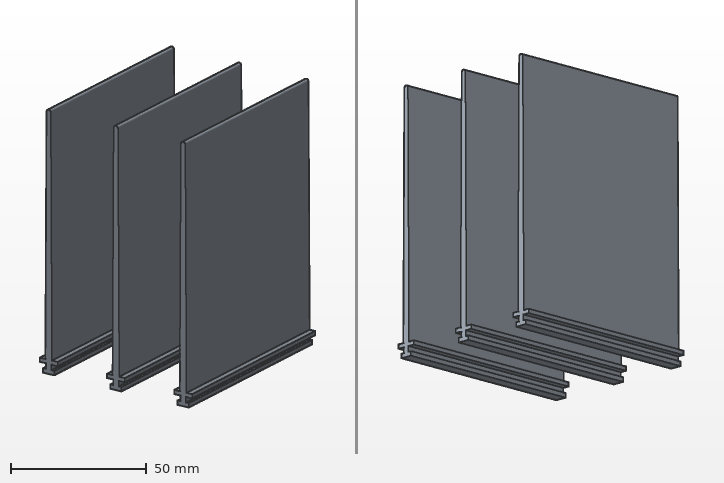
import cadquery as cq

fin_count = 3
overall_width = 68.0
fin_length = 80.5
fin_height = 104.0

foot_width = 5.0
foot_top = 1.8
neck_width = 2.5
flange_width = 8.0
flange_bottom = 4.0
flange_top = 5.6
blade_root_width = 3.0
blade_tip_width = 2.0

fin_pitch = (overall_width - flange_width) / (fin_count - 1)
tip_radius = blade_tip_width / 2


def make_fin(x_center):
    """One fin: T-shaped foot, seating flange and tapered blade with a rounded tip."""
    right_side = [
        (foot_width / 2, 0),
        (foot_width / 2, foot_top),
        (neck_width / 2, foot_top),
        (neck_width / 2, flange_bottom),
        (flange_width / 2, flange_bottom),
        (flange_width / 2, flange_top),
        (blade_root_width / 2, flange_top),
        (blade_tip_width / 2, fin_height - tip_radius),
    ]
    left_side = [(-x, z) for x, z in reversed(right_side)]
    profile = (
        cq.Workplane("XZ")
        .polyline(right_side)
        .threePointArc((0, fin_height), left_side[0])
    )
    for x, z in left_side[1:]:
        profile = profile.lineTo(x, z)
    fin = profile.close().extrude(fin_length / 2, both=True)
    return fin.translate((x_center, 0, 0))


fins = []
for index in range(fin_count):
    offset = index - (fin_count - 1) / 2
    fins.append(make_fin(offset * fin_pitch).val())

result = cq.Compound.makeCompound(fins)